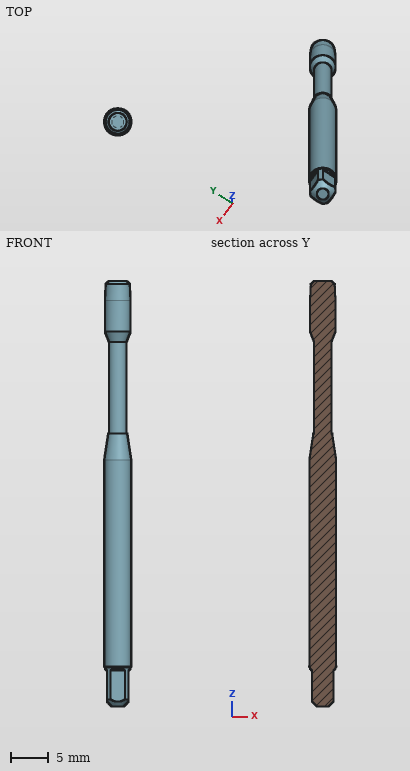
import cadquery as cq

shank_diameter = 3.6
neck_diameter = 2.35
head_diameter = 3.45
drive_diameter = 3.45
head_shoulder_diameter = 3.2
head_tip_diameter = 2.35
taper_top_diameter = 2.55
drive_end_diameter = 1.6

drive_end_chamfer = 0.95
flat_top = 4.8
drive_top = 5.3
shank_top = 32.6
taper_top = 36.1
head_bottom = 48.15
head_body_bottom = 49.5
head_body_top = 53.6
tip_chamfer = 0.4
overall_length = 56.2

drive_step = (shank_diameter - drive_diameter) / 2
across_flats = 2.85


def turned_body():
    """Revolve the half profile of the shank, neck and head about Z."""
    stations = [
        (drive_end_diameter, 0),
        (drive_diameter, drive_end_chamfer),
        (drive_diameter, drive_top - drive_step),
        (shank_diameter, drive_top),
        (shank_diameter, shank_top),
        (taper_top_diameter, taper_top),
        (neck_diameter, taper_top),
        (neck_diameter, head_bottom),
        (head_diameter, head_body_bottom),
        (head_diameter, head_body_top),
        (head_shoulder_diameter, overall_length - tip_chamfer),
        (head_tip_diameter, overall_length),
    ]
    profile = [(diameter / 2, height) for diameter, height in stations]
    outline = [(0, 0)] + profile + [(0, overall_length)]
    return cq.Workplane("XZ").polyline(outline).close().revolve(360, (0, 0), (0, 1))


def flat_cutter():
    """Prism on the +X side that cuts one flat, running out at 45 degrees."""
    flat = across_flats / 2
    outside = shank_diameter
    runout_end = flat_top + outside - flat
    outline = [(flat, 0), (outside, 0), (outside, runout_end), (flat, flat_top)]
    return cq.Workplane("XZ").polyline(outline).close().extrude(shank_diameter / 2, both=True)


result = turned_body()
for angle in (0, 90, 180, 270):
    result = result.cut(flat_cutter().rotate((0, 0, 0), (0, 0, 1), angle))